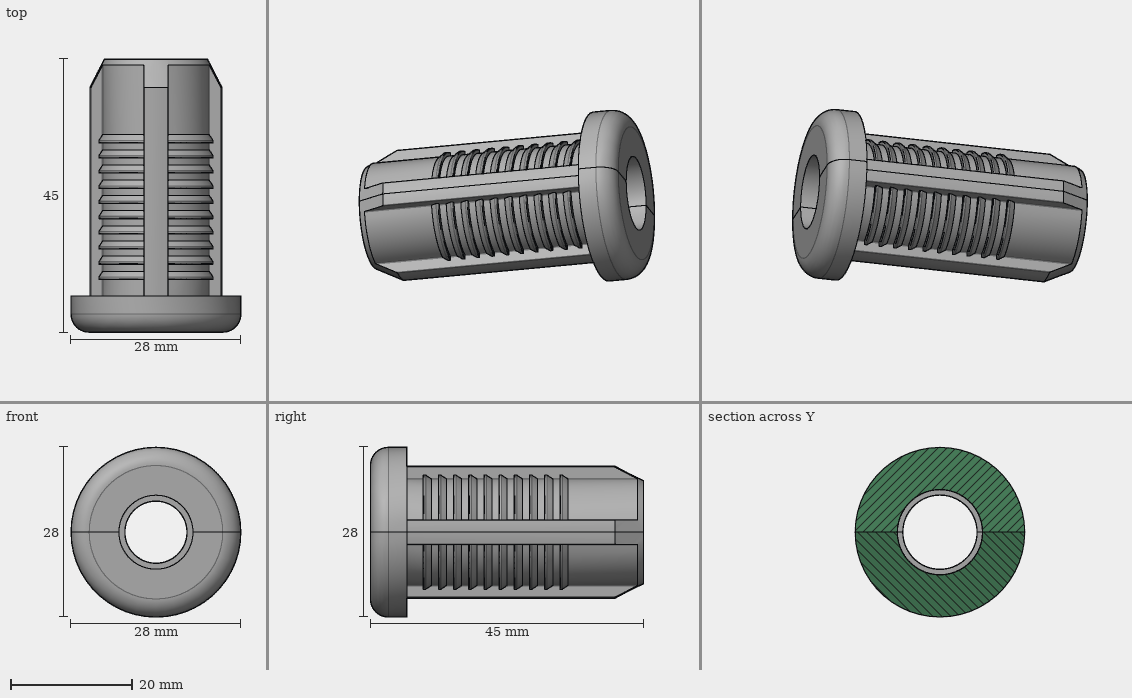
import cadquery as cq

length = 45.0

flange_radius = 14.0
flange_thickness = 6.0
flange_rounding = 3.0

shank_radius = 9.0
rib_radius = 10.9
rib_width = 4.0
rib_rounding = 0.1
tip_radius = 8.5
taper_length = 4.7

ridge_radius = 9.62
ridge_count = 10
ridge_pitch = 2.5
ridge_crest_width = 0.4
ridge_rounding = 0.1
ridge_slope = 0.95
flange_to_ridge = 2.7
first_ridge_y = flange_thickness + flange_to_ridge

opening_radius = 6.1
lip_depth = 4.0
cavity_radius = 7.0
sleeve_bore_radius = 5.1
sleeve_end_gap = 0.4
sleeve_start = lip_depth + sleeve_end_gap

AXIS_START = (0, 0, 0)
AXIS_END = (0, 1, 0)


def cylinder(radius, start, end):
    """Cylinder around the Y axis between two Y positions."""
    return cq.Workplane("XZ", origin=(0, start, 0)).circle(radius).extrude(start - end)


def make_flange():
    blank = cylinder(flange_radius, 0, flange_thickness)
    return blank.faces("<Y").edges().fillet(flange_rounding)


def make_shank():
    """Cylinder with four ribs, rounded along the rib corners and roots, tapered at the tip."""
    shank_length = length - flange_thickness
    bars = cq.Workplane("XY", origin=(0, flange_thickness + shank_length / 2, 0))
    bar_span = 2 * rib_radius
    ribs = bars.box(bar_span, shank_length, rib_width).union(bars.box(rib_width, shank_length, bar_span))
    ribs = ribs.intersect(cylinder(rib_radius, flange_thickness, length))
    shank = cylinder(shank_radius, flange_thickness, length).union(ribs)
    return shank.edges("|Y").fillet(rib_rounding).intersect(make_taper_envelope())


def make_ridge(start):
    """Ring with a rounded crest, a square shoulder toward the flange and a slope toward the tip."""
    crest_end = start + ridge_crest_width
    slope_end = crest_end + ridge_slope
    section = (
        cq.Workplane("XY")
        .moveTo(cavity_radius, start)
        .lineTo(ridge_radius, start)
        .lineTo(ridge_radius, crest_end)
        .lineTo(shank_radius, slope_end)
        .lineTo(cavity_radius, slope_end)
        .close()
    )
    ridge = section.revolve(360, AXIS_START, AXIS_END)
    return ridge.edges(cq.selectors.RadiusNthSelector(-1)).fillet(ridge_rounding)


def make_taper_envelope():
    """Solid of revolution that limits the shank and ribs to the tapered tip."""
    section = (
        cq.Workplane("XY")
        .lineTo(flange_radius, 0)
        .lineTo(flange_radius, flange_thickness)
        .lineTo(rib_radius, flange_thickness)
        .lineTo(rib_radius, length - taper_length)
        .lineTo(tip_radius, length)
        .lineTo(0, length)
        .close()
    )
    return section.revolve(360, AXIS_START, AXIS_END)


def make_whole_shell():
    shell = make_flange().union(make_shank())
    for index in range(ridge_count):
        shell = shell.union(make_ridge(first_ridge_y + index * ridge_pitch))
    shell = shell.cut(cylinder(opening_radius, 0, lip_depth))
    return shell.cut(cylinder(cavity_radius, lip_depth, length))


def make_half_shells():
    """Upper and lower halves of the shell, parted along the plane Z = 0."""
    shell = make_whole_shell()
    halves = []
    for side in (1, -1):
        half_space = cq.Workplane("XY").center(0, length / 2).rect(2 * flange_radius, length)
        halves.append(shell.intersect(half_space.extrude(side * flange_radius)))
    return halves


def make_sleeve():
    outside = cylinder(cavity_radius, sleeve_start, length)
    return outside.cut(cylinder(sleeve_bore_radius, sleeve_start, length))


half_shells = make_half_shells()
sleeve = make_sleeve()

result = cq.Compound.makeCompound([*(half.val() for half in half_shells), sleeve.val()])